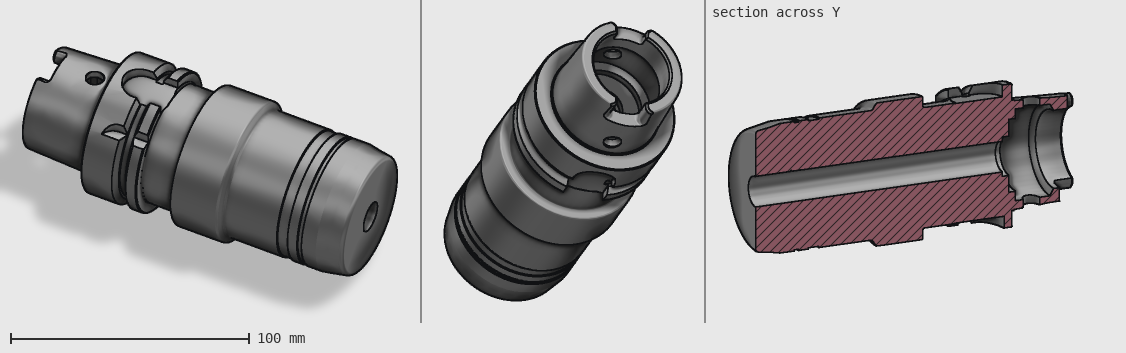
import cadquery as cq
import math

LENGTH = 152.0

SHANK_END = 29.8
SHANK_END_RADIUS = 47.9 / 2
MOUTH_RADIUS = 45.3 / 2
MOUTH_FILLET = 1.0
COLLAR_START = 30.7
COLLAR_RADIUS = 24.3

FLANGE_START = 31.9
FLANGE_END = 57.9
FLANGE_RADIUS = 31.5
EDGE_CHAMFER = 0.5
GROOVE_CENTER = 49.7
GROOVE_ROOT_WIDTH = 3.0
GROOVE_ROOT_RADIUS = 27.2
GROOVE_FLANK_FOOT_RADIUS = 28.5
GROOVE_FLANK_ANGLE = 30.0

BODY_RADIUS = 53.0 / 2
BODY_FILLET = 0.8
RING_START = 73.5
RING_FILLET = 0.9
RING_CONE_START = 95.5
RING_CONE_END = 97.5
RING_CONE_FILLET = 1.2

NOSE_RADIUS = 57.0 / 2
NOSE_GROOVES = ((122.2, 127.2), (131.6, 133.8))
NOSE_GROOVE_RADIUS = 56.0 / 2
NOSE_GROOVE_SIDE = 0.23
NOSE_TAPER_START = 140.5
NOSE_TAPER_END = 150.2
NOSE_TIP_RADIUS = 26.8
NOSE_TIP_EDGE = LENGTH - NOSE_TAPER_END

MOUTH_BORE_RADIUS = 17.0
MOUTH_BORE_CHAMFER = 0.9
MOUTH_BORE_DEPTH = 12.6
CAVITY_RADIUS = 40.0 / 2
CAVITY_SHOULDER_ANGLE = 30.0
CAVITY_DEPTH = 30.4
POCKET_RADIUS = 31.8 / 2
POCKET_DEPTH = 33.5
SPIGOT_BORE_RADIUS = 8.5
SPIGOT_BORE_DEPTH = 36.5
THROUGH_BORE_RADIUS = 13.2 / 2

CROSS_HOLE_X = 23.0
CROSS_HOLE_DIAMETER = 7.5
CROSS_HOLE_CHAMFER = 0.3

DRIVE_HALF_WIDTH = 6.4
DRIVE_SHOULDER_Z = 20.8
DRIVE_SHOULDER_RADIUS = 3.0
DRIVE_FILLET = 1.7
DRIVE_MOUTH_CHAMFER = 0.9
TOP_DRIVE_DEPTH = 6.1
BOTTOM_DRIVE_DEPTH = 9.7

KEY_FLOOR = 26.3
KEY_CENTER_X = 44.7
TOP_KEY_RADIUS = 8.0
BOTTOM_KEY_RADIUS = 9.0
KEY_END = 58.5
NOTCH_OFFSET = 19.9
NOTCH_RADIUS = 6.8


def edges_between(start, end):
    """Selector for the edges lying from X = start to X = end."""
    margin = 0.2
    return cq.selectors.BoxSelector(
        (start - margin, -LENGTH, -LENGTH), (end + margin, LENGTH, LENGTH)
    )


def turned_body():
    flank = (FLANGE_RADIUS - GROOVE_FLANK_FOOT_RADIUS) * math.tan(math.radians(GROOVE_FLANK_ANGLE))
    root_start = GROOVE_CENTER - GROOVE_ROOT_WIDTH / 2
    root_end = GROOVE_CENTER + GROOVE_ROOT_WIDTH / 2
    profile = (
        cq.Workplane("XY")
        .lineTo(0, MOUTH_RADIUS - MOUTH_FILLET)
        .radiusArc((MOUTH_FILLET, MOUTH_RADIUS), MOUTH_FILLET)
        .lineTo(SHANK_END, SHANK_END_RADIUS)
        .lineTo(COLLAR_START, SHANK_END_RADIUS)
        .lineTo(COLLAR_START + COLLAR_RADIUS - SHANK_END_RADIUS, COLLAR_RADIUS)
        .lineTo(FLANGE_START, COLLAR_RADIUS)
        .lineTo(FLANGE_START, FLANGE_RADIUS - EDGE_CHAMFER)
        .lineTo(FLANGE_START + EDGE_CHAMFER, FLANGE_RADIUS)
        .lineTo(root_start - flank, FLANGE_RADIUS)
        .lineTo(root_start, GROOVE_FLANK_FOOT_RADIUS)
        .lineTo(root_start, GROOVE_ROOT_RADIUS)
        .lineTo(root_end, GROOVE_ROOT_RADIUS)
        .lineTo(root_end, GROOVE_FLANK_FOOT_RADIUS)
        .lineTo(root_end + flank, FLANGE_RADIUS)
        .lineTo(FLANGE_END - EDGE_CHAMFER, FLANGE_RADIUS)
        .lineTo(FLANGE_END, FLANGE_RADIUS - EDGE_CHAMFER)
        .lineTo(FLANGE_END, BODY_RADIUS + BODY_FILLET)
        .radiusArc((FLANGE_END + BODY_FILLET, BODY_RADIUS), -BODY_FILLET)
        .lineTo(RING_START - BODY_FILLET, BODY_RADIUS)
        .radiusArc((RING_START, BODY_RADIUS + BODY_FILLET), -BODY_FILLET)
        .lineTo(RING_START, FLANGE_RADIUS - RING_FILLET)
        .radiusArc((RING_START + RING_FILLET, FLANGE_RADIUS), RING_FILLET)
        .lineTo(RING_CONE_START, FLANGE_RADIUS)
        .lineTo(RING_CONE_END, NOSE_RADIUS)
    )
    for start, end in NOSE_GROOVES:
        profile = (
            profile.lineTo(start, NOSE_RADIUS)
            .lineTo(start + NOSE_GROOVE_SIDE, NOSE_GROOVE_RADIUS)
            .lineTo(end - NOSE_GROOVE_SIDE, NOSE_GROOVE_RADIUS)
            .lineTo(end, NOSE_RADIUS)
        )
    profile = (
        profile.lineTo(NOSE_TAPER_START, NOSE_RADIUS)
        .lineTo(NOSE_TAPER_END, NOSE_TIP_RADIUS)
        .radiusArc((LENGTH, NOSE_TIP_RADIUS - NOSE_TIP_EDGE), NOSE_TIP_EDGE)
        .lineTo(LENGTH, 0)
        .close()
    )
    body = profile.revolve(360, (0, 0), (1, 0))
    return body.edges(edges_between(RING_CONE_START, RING_CONE_END)).fillet(RING_CONE_FILLET)


def bores():
    shoulder = (CAVITY_RADIUS - MOUTH_BORE_RADIUS) * math.tan(math.radians(CAVITY_SHOULDER_ANGLE))
    return (
        cq.Workplane("XY")
        .lineTo(0, MOUTH_BORE_RADIUS + MOUTH_BORE_CHAMFER)
        .lineTo(MOUTH_BORE_CHAMFER, MOUTH_BORE_RADIUS)
        .lineTo(MOUTH_BORE_DEPTH, MOUTH_BORE_RADIUS)
        .lineTo(MOUTH_BORE_DEPTH + shoulder, CAVITY_RADIUS)
        .lineTo(CAVITY_DEPTH, CAVITY_RADIUS)
        .lineTo(CAVITY_DEPTH, POCKET_RADIUS)
        .lineTo(POCKET_DEPTH, POCKET_RADIUS)
        .lineTo(POCKET_DEPTH, SPIGOT_BORE_RADIUS)
        .lineTo(SPIGOT_BORE_DEPTH, SPIGOT_BORE_RADIUS)
        .lineTo(SPIGOT_BORE_DEPTH, THROUGH_BORE_RADIUS)
        .lineTo(LENGTH, THROUGH_BORE_RADIUS)
        .lineTo(LENGTH, 0)
        .close()
        .revolve(360, (0, 0), (1, 0))
    )


def drive_profile(x):
    """Cross-section of a drive slot with rounded shoulders, in the plane at the given X."""
    shoulder_y = DRIVE_HALF_WIDTH + DRIVE_SHOULDER_RADIUS
    shoulder_start_z = DRIVE_SHOULDER_Z - DRIVE_SHOULDER_RADIUS
    return (
        cq.Workplane("YZ", origin=(x, 0, 0))
        .moveTo(-DRIVE_HALF_WIDTH, 0)
        .lineTo(DRIVE_HALF_WIDTH, 0)
        .lineTo(DRIVE_HALF_WIDTH, shoulder_start_z)
        .radiusArc((shoulder_y, DRIVE_SHOULDER_Z), DRIVE_SHOULDER_RADIUS)
        .lineTo(FLANGE_RADIUS, DRIVE_SHOULDER_Z)
        .lineTo(FLANGE_RADIUS, FLANGE_RADIUS)
        .lineTo(-FLANGE_RADIUS, FLANGE_RADIUS)
        .lineTo(-FLANGE_RADIUS, DRIVE_SHOULDER_Z)
        .lineTo(-shoulder_y, DRIVE_SHOULDER_Z)
        .radiusArc((-DRIVE_HALF_WIDTH, shoulder_start_z), DRIVE_SHOULDER_RADIUS)
        .close()
    )


def drive_slot(depth):
    """Slot across the upper half of the shank mouth, with a filleted floor and a chamfered mouth."""
    slot = drive_profile(0).extrude(depth)
    slot = slot.faces(">X").edges("not(<Z or >Z or <Y or >Y)").fillet(DRIVE_FILLET)
    mouth = drive_profile(DRIVE_MOUTH_CHAMFER).extrude(-DRIVE_MOUTH_CHAMFER, taper=-45)
    return slot.union(mouth)


def key_slot(radius):
    """Round-ended flat slot on the +Z side of the flange."""
    return (
        cq.Workplane("XY", origin=(0, 0, KEY_FLOOR))
        .moveTo(KEY_END, -radius)
        .lineTo(KEY_CENTER_X, -radius)
        .threePointArc((KEY_CENTER_X - radius, 0), (KEY_CENTER_X, radius))
        .lineTo(KEY_END, radius)
        .close()
        .extrude(FLANGE_RADIUS)
    )


def corner_notch():
    """Square-cornered notch at 45 degrees on the flange, with a round end."""
    outer = -FLANGE_RADIUS
    arc_center = -NOTCH_OFFSET - NOTCH_RADIUS
    arc_middle = NOTCH_RADIUS * math.sqrt(0.5)
    return (
        cq.Workplane("XY", origin=(0, 0, NOTCH_OFFSET))
        .moveTo(KEY_END, outer)
        .lineTo(KEY_END, -NOTCH_OFFSET)
        .lineTo(KEY_CENTER_X, -NOTCH_OFFSET)
        .threePointArc(
            (KEY_CENTER_X - arc_middle, arc_center + arc_middle),
            (KEY_CENTER_X - NOTCH_RADIUS, arc_center),
        )
        .lineTo(KEY_CENTER_X - NOTCH_RADIUS, outer)
        .close()
        .extrude(FLANGE_RADIUS)
    )


def to_bottom(shape):
    return shape.rotate((0, 0, 0), (1, 0, 0), 180)


def cross_hole():
    """Hole along Z through both shank walls, lightly countersunk on the outside."""
    radius = CROSS_HOLE_DIAMETER / 2
    shank_radius = MOUTH_RADIUS + (SHANK_END_RADIUS - MOUTH_RADIUS) * CROSS_HOLE_X / SHANK_END
    hole = (
        cq.Workplane("XY", origin=(CROSS_HOLE_X, 0, -FLANGE_RADIUS))
        .circle(radius)
        .extrude(2 * FLANGE_RADIUS)
    )
    countersink = (
        cq.Workplane("XY", origin=(CROSS_HOLE_X, 0, shank_radius - CROSS_HOLE_CHAMFER))
        .circle(radius)
        .extrude(2 * CROSS_HOLE_CHAMFER, taper=-45)
    )
    return hole.union(countersink).union(to_bottom(countersink))


result = (
    turned_body()
    .cut(drive_slot(TOP_DRIVE_DEPTH))
    .cut(to_bottom(drive_slot(BOTTOM_DRIVE_DEPTH)))
    .cut(bores())
    .cut(cross_hole())
    .cut(key_slot(TOP_KEY_RADIUS))
    .cut(to_bottom(key_slot(BOTTOM_KEY_RADIUS)))
    .cut(corner_notch())
)